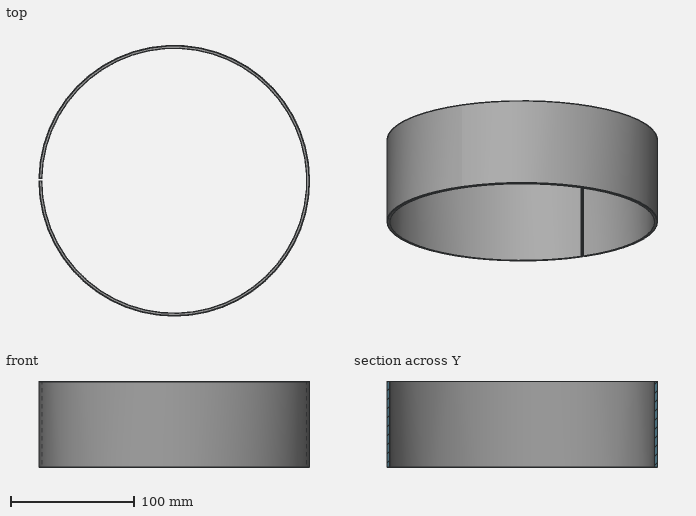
import cadquery as cq

outer_diameter = 220.0
wall = 2.5
height = 70.0
slit_width = 2.0
edge_chamfer = 0.5

outer_radius = outer_diameter / 2
inner_radius = outer_radius - wall

ring = (
    cq.Workplane("XY")
    .circle(outer_radius)
    .extrude(height)
    .edges("%CIRCLE")
    .chamfer(edge_chamfer)
    .faces(">Z")
    .workplane()
    .hole(2 * inner_radius)
)

slit = (
    cq.Workplane("XY")
    .center(-outer_radius, slit_width / 2)
    .rect(4 * wall, slit_width)
    .extrude(height)
)

result = ring.cut(slit)